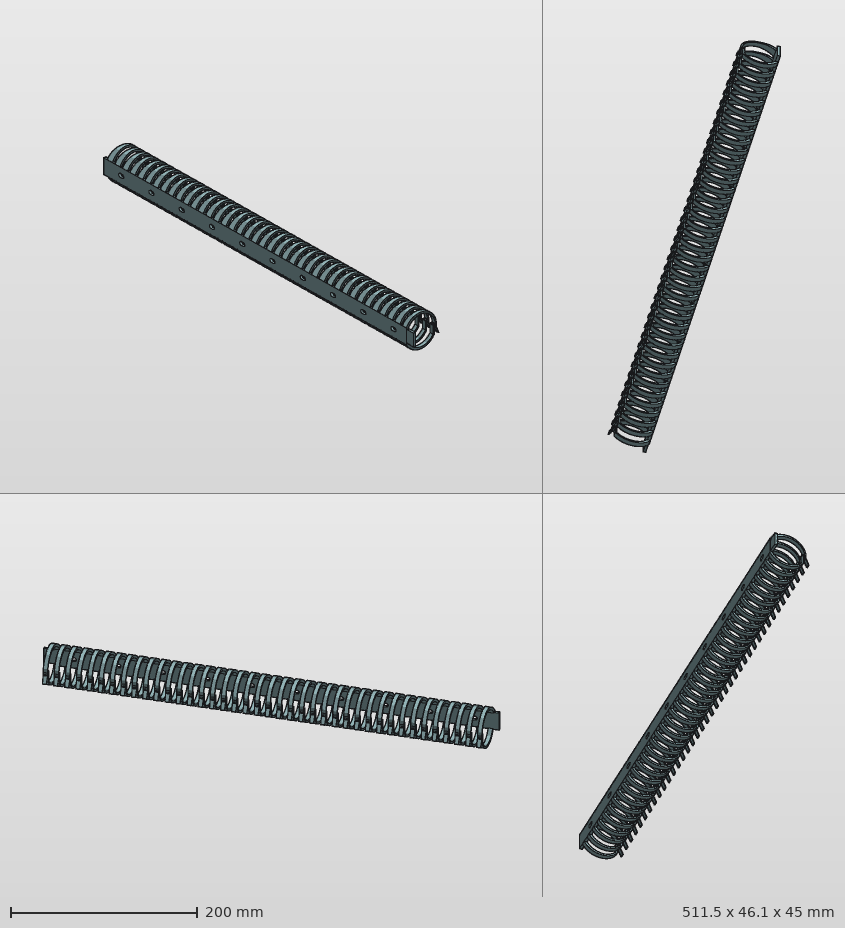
import cadquery as cq
import math


strip_length = 500.0
strip_face_y = -20.0
strip_thickness = 3.4
strip_back_y = strip_face_y + strip_thickness

outer_radius = 22.5
root_wall = 3.5
tip_wall = 1.8
inner_radius = outer_radius - (root_wall + tip_wall) / 2
inner_center_y = (root_wall - tip_wall) / 2

finger_pitch = 12.5
finger_count = round(strip_length / finger_pitch)
finger_width = 5.0
first_finger_x = finger_pitch - finger_width / 2
flared_root_width = 8.8

lip_bend_z = -3.0
lip_tip_y = 26.07
lip_tip_z = -11.5
lip_thickness = 0.9
lip_tip_width = 4.3
ledge_bottom_z = 0.5
ledge_thickness = 0.7

upright_outer_y = 19.4
upright_inner_y = upright_outer_y - tip_wall
upright_top_z = 0.3
barb_reach = 1.8
barb_top_z = -1.8
barb_thickness = 0.7

slot_length = 8.0
slot_width = 4.5
fingers_per_slot = 4
slot_pitch = fingers_per_slot * finger_pitch
slot_count = round(strip_length / slot_pitch)
pitches_to_first_slot = 1.5
first_slot_x = first_finger_x + pitches_to_first_slot * finger_pitch

tongue_length = 11.5
tongue_height = 17.0
tongue_recess = 0.5


def outer_z(y):
    """Height of the outer circle above the tube axis at depth y."""
    return math.sqrt(outer_radius**2 - y**2)


def inner_z(y):
    """Height of the inner circle above the tube axis at depth y."""
    return math.sqrt(inner_radius**2 - (y - inner_center_y) ** 2)


strip_half_height = outer_z(strip_face_y)


def box(x_range, y_range, z_range):
    """Axis-aligned box between the given limits."""
    size = [limits[1] - limits[0] for limits in (x_range, y_range, z_range)]
    corner = (x_range[0], y_range[0], z_range[0])
    return cq.Workplane("XY").box(*size, centered=False).translate(corner)


def section(start_x):
    """Workplane across the tube, with local axes Y and Z."""
    return cq.Workplane("YZ", origin=(start_x, 0, 0))


def upper_finger():
    """Upper finger centred on x = 0, flared towards the strip and tapered along its lip."""
    inner_back_y = inner_center_y + math.sqrt(inner_radius**2 - ledge_bottom_z**2)
    profile = (
        section(-flared_root_width / 2)
        .moveTo(strip_face_y, strip_half_height)
        .threePointArc((0, outer_radius), (outer_radius, 0))
        .lineTo(outer_radius, lip_bend_z)
        .lineTo(lip_tip_y, lip_tip_z)
        .lineTo(lip_tip_y - lip_thickness, lip_tip_z)
        .lineTo(outer_radius - lip_thickness, lip_bend_z)
        .lineTo(outer_radius - lip_thickness, ledge_bottom_z)
        .lineTo(inner_back_y, ledge_bottom_z)
        .threePointArc((inner_center_y, inner_radius), (strip_back_y, inner_z(strip_back_y)))
        .close()
    )
    finger = profile.extrude(flared_root_width)
    ledge = box(
        (-finger_width / 2, finger_width / 2),
        (upright_inner_y, inner_back_y + tip_wall / 2),
        (ledge_bottom_z, ledge_bottom_z + ledge_thickness),
    )
    right_side = [
        (flared_root_width / 2, strip_face_y),
        (finger_width / 2, 0),
        (finger_width / 2, outer_radius),
        (lip_tip_width / 2, lip_tip_y),
    ]
    left_side = [(-x, y) for x, y in reversed(right_side)]
    plan = (
        cq.Workplane("XY")
        .polyline(right_side + left_side)
        .close()
        .extrude(outer_radius, both=True)
    )
    return finger.union(ledge).intersect(plan)


def lower_finger():
    """Lower finger centred on x = 0, of constant width, ending in an upright with an outward barb."""
    inner_end_z = -inner_z(upright_inner_y)
    profile = (
        section(-finger_width / 2)
        .moveTo(strip_face_y, -strip_half_height)
        .threePointArc((0, -outer_radius), (upright_outer_y, -outer_z(upright_outer_y)))
        .lineTo(upright_outer_y, barb_top_z - barb_thickness)
        .lineTo(upright_outer_y + barb_reach, barb_top_z - barb_thickness)
        .lineTo(upright_outer_y + barb_reach, barb_top_z)
        .lineTo(upright_outer_y, barb_top_z)
        .lineTo(upright_outer_y, upright_top_z)
        .lineTo(upright_inner_y, upright_top_z)
        .lineTo(upright_inner_y, inner_end_z)
        .threePointArc((inner_center_y, -inner_radius), (strip_back_y, -inner_z(strip_back_y)))
        .close()
    )
    return profile.extrude(finger_width)


def base_strip():
    """Flat strip with its row of mounting slots and the joining tongue at the +X end."""
    strip = box(
        (0, strip_length),
        (strip_face_y, strip_back_y),
        (-strip_half_height, strip_half_height),
    )
    tongue = box(
        (strip_length, strip_length + tongue_length),
        (strip_face_y + tongue_recess, strip_back_y),
        (-tongue_height / 2, tongue_height / 2),
    )
    slot_centers = [(first_slot_x + i * slot_pitch, 0) for i in range(slot_count)]
    slots = (
        cq.Workplane("XZ", origin=(0, strip_back_y, 0))
        .pushPoints(slot_centers)
        .slot2D(slot_length, slot_width)
        .extrude(strip_thickness)
    )
    return strip.union(tongue).cut(slots)


def all_fingers():
    """Every finger pair, with the last flare trimmed level with the end of the strip."""
    upper = upper_finger().val()
    lower = lower_finger().val()
    reach = (-lip_tip_y, lip_tip_y)
    strip_span = box((0, strip_length), reach, reach).val()
    fingers = []
    for i in range(finger_count):
        offset = cq.Vector(first_finger_x + i * finger_pitch, 0, 0)
        fingers.append(upper.translate(offset).intersect(strip_span))
        fingers.append(lower.translate(offset))
    return fingers


duct = base_strip().val().fuse(*all_fingers())
result = cq.Workplane("XY").newObject(duct.Solids())